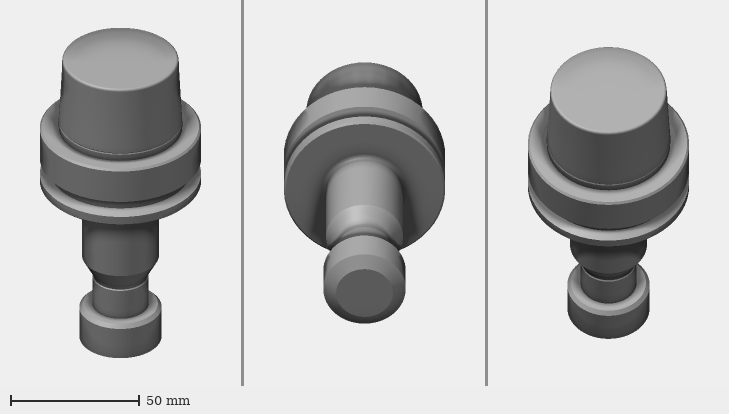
import cadquery as cq

total_length = 131.9

head_radius = 16.1
head_tip_radius = 11.1
head_tip_height = 2.9
head_chamfer = 1.5
head_top = 18.0

neck_radius = 11.0
neck_groove_depth = 0.4
neck_groove_bottom = 30.9
neck_groove_top = 32.8
shank_radius = 15.0
shank_bottom = 40.4
shank_fillet = 1.7

flange_radius = 31.5
flange_bottom = 74.3
flange_top = 100.4
flange_chamfer = 0.8
groove_radius = 27.6
groove_wall_height = 1.5
groove_lower_edge = 78.5
groove_upper_edge = 85.5

relief_radius = 26.4
relief_depth = 0.5

taper_base_radius = 24.1
taper_base = 103.4
taper_groove_bottom = 102.6
taper_groove_depth = 0.3
taper_top_radius = 22.7
taper_fillet = 1.0


def lower_profile(sketch):
    """Pull head, neck and shank, from the lower tip up to the flange."""
    return (
        sketch.lineTo(head_tip_radius, 0)
        .lineTo(head_radius, head_tip_height)
        .lineTo(head_radius, head_top - head_chamfer)
        .lineTo(head_radius - head_chamfer, head_top)
        .lineTo(neck_radius, head_top)
        .lineTo(neck_radius, neck_groove_bottom)
        .lineTo(neck_radius - neck_groove_depth, neck_groove_bottom + neck_groove_depth)
        .lineTo(neck_radius, neck_groove_top)
        .lineTo(shank_radius, shank_bottom)
        .lineTo(shank_radius, flange_bottom - shank_fillet)
        .tangentArcPoint((shank_radius + shank_fillet, flange_bottom), relative=False)
    )


def flange_profile(sketch):
    """Flange rim, gripper groove and the relief in the upper face."""
    chamfer_radius = flange_radius - flange_chamfer
    return (
        sketch.lineTo(chamfer_radius, flange_bottom)
        .lineTo(flange_radius, flange_bottom + flange_chamfer)
        .lineTo(flange_radius, groove_lower_edge)
        .lineTo(groove_radius, groove_lower_edge + groove_wall_height)
        .lineTo(groove_radius, groove_upper_edge - groove_wall_height)
        .lineTo(flange_radius, groove_upper_edge)
        .lineTo(flange_radius, flange_top - flange_chamfer)
        .lineTo(chamfer_radius, flange_top)
        .lineTo(relief_radius, flange_top)
        .lineTo(taper_base_radius, flange_top - relief_depth)
    )


def taper_profile(sketch):
    """Taper base groove and the taper up to its flat end."""
    return (
        sketch.lineTo(taper_base_radius, taper_groove_bottom)
        .lineTo(taper_base_radius - taper_groove_depth, (taper_groove_bottom + taper_base) / 2)
        .lineTo(taper_base_radius, taper_base)
        .lineTo(taper_top_radius, total_length)
        .lineTo(0, total_length)
    )


half_section = cq.Workplane("XZ").moveTo(0, 0)
half_section = lower_profile(half_section)
half_section = flange_profile(half_section)
half_section = taper_profile(half_section).close()
body = half_section.revolve(360, (0, 0, 0), (0, 1, 0))

result = body.faces(">Z").edges().fillet(taper_fillet)